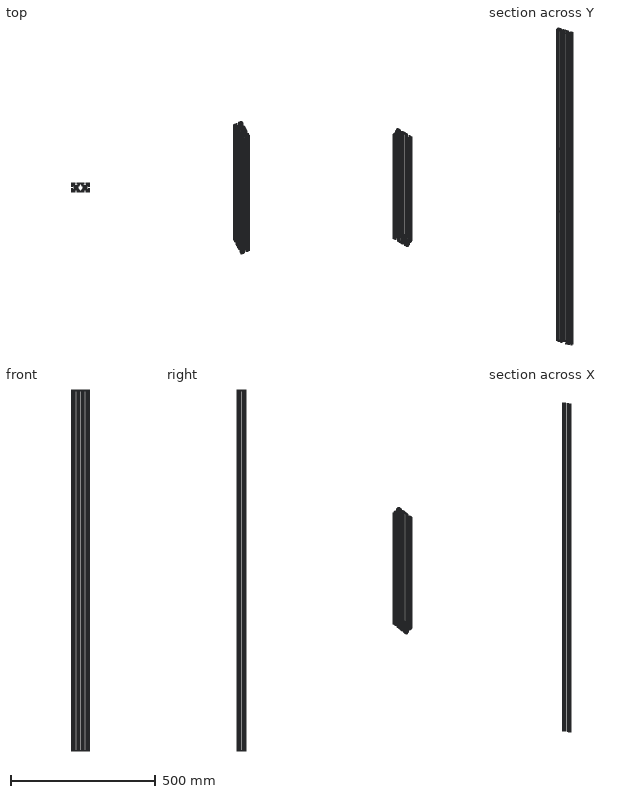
import cadquery as cq

CELL = 30.0
LENGTH = 1250.0
CELL_CENTRES = (-CELL / 2, CELL / 2)
FACE = CELL / 2
CORNER_RADIUS = 1.5

SLOT_OPENING = 8.2
LIP_THICKNESS = 2.0
SLOT_INNER_WIDTH = 15.5
SLOT_SIDE_DEPTH = 6.4
SLOT_DEPTH = 8.5
SLOT_FLOOR_WIDTH = 9.7

CORE_BORE_DIAMETER = 7.4

CORNER_HOLLOW_WALL = 1.5
CORNER_HOLLOW_SIZE = 3.5

CAVITY_WALL = 2.0
CAVITY_END_WIDTH = 10.0
CAVITY_SHOULDER_HEIGHT = 19.8
CAVITY_MID_WIDTH = 19.5
CAVITY_MID_HEIGHT = 6.5


def prism(half_outline):
    """Mirror half an outline across the Y axis and extrude it over the whole length."""
    mirror_half = [(-x, y) for x, y in reversed(half_outline)]
    return cq.Workplane("XY").polyline(half_outline + mirror_half).close().extrude(LENGTH)


def blank():
    """Solid bar with rounded long edges."""
    return cq.Workplane("XY").rect(2 * CELL, CELL).extrude(LENGTH).edges("|Z").fillet(CORNER_RADIUS)


def t_slot():
    """Cutter for the slot in the +Y face of a cell centred on the origin."""
    return prism([
        (SLOT_OPENING / 2, FACE),
        (SLOT_OPENING / 2, FACE - LIP_THICKNESS),
        (SLOT_INNER_WIDTH / 2, FACE - LIP_THICKNESS),
        (SLOT_INNER_WIDTH / 2, FACE - SLOT_SIDE_DEPTH),
        (SLOT_FLOOR_WIDTH / 2, FACE - SLOT_DEPTH),
    ])


def slot_angles(cell_x):
    """Turns about Z that bring the +Y slot to the three outward sides of a cell."""
    outward = 90 if cell_x < 0 else -90
    return (0, outward, 180)


def core_bores():
    """Cutter for the bore in the middle of each cell."""
    centres = [(cell_x, 0) for cell_x in CELL_CENTRES]
    return cq.Workplane("XY").pushPoints(centres).circle(CORE_BORE_DIAMETER / 2).extrude(LENGTH)


def corner_hollows():
    """Cutter for the square hollows in the outer corners."""
    inset = CORNER_HOLLOW_WALL + CORNER_HOLLOW_SIZE / 2
    spacing_x = 2 * (CELL - inset)
    spacing_y = 2 * (FACE - inset)
    return (
        cq.Workplane("XY")
        .rarray(spacing_x, spacing_y, 2, 2)
        .rect(CORNER_HOLLOW_SIZE, CORNER_HOLLOW_SIZE)
        .extrude(LENGTH)
    )


def cavity():
    """Cutter for the hollow between the cells, wide in the middle and narrow at both ends."""
    end = FACE - CAVITY_WALL
    upper = [
        (CAVITY_END_WIDTH / 2, end),
        (CAVITY_END_WIDTH / 2, CAVITY_SHOULDER_HEIGHT / 2),
        (CAVITY_MID_WIDTH / 2, CAVITY_MID_HEIGHT / 2),
    ]
    lower = [(x, -y) for x, y in reversed(upper)]
    return prism(upper + lower)


result = blank().cut(core_bores()).cut(corner_hollows()).cut(cavity())
for cell_x in CELL_CENTRES:
    for angle in slot_angles(cell_x):
        slot = t_slot().rotate((0, 0, 0), (0, 0, 1), angle)
        result = result.cut(slot.translate((cell_x, 0, 0)))